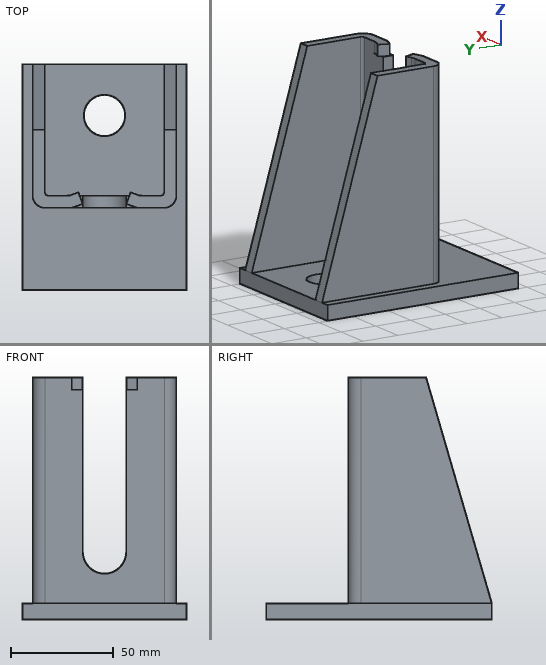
import cadquery as cq
import math

PLATE_WIDTH = 80.0
PLATE_LENGTH = 110.0
PLATE_THICKNESS = 8.0
HOLE_DIAMETER = 20.0
HOLE_FROM_REAR = 25.0

TOTAL_HEIGHT = 118.0
CHANNEL_WIDTH = 70.0
CHANNEL_DEPTH = 70.0
SHEET = 6.0
OUTER_RADIUS = 6.0
INNER_RADIUS = 1.5
TOP_SETBACK = 32.0

SLOT_WIDTH = 21.0
SLOT_CENTRE_ABOVE_PLATE = 25.0

LIP_HEIGHT = 6.0
LIP_ANGLE = math.radians(20.0)
LIP_BEND_X = 16.0
LIP_LENGTH = 5.7
LIP_BEND_RADIUS = 8.0

channel_front = -CHANNEL_DEPTH
wall_inside = channel_front + SHEET
lip_bottom = TOTAL_HEIGHT - LIP_HEIGHT
inner_bend_x = LIP_BEND_X + SHEET * math.tan(LIP_ANGLE / 2)


def box_between(x_min, x_max, y_min, y_max, z_min, z_max):
    """Axis-aligned block given by its limits."""
    block = cq.Workplane("XY").box(x_max - x_min, y_max - y_min, z_max - z_min, centered=False)
    return block.translate((x_min, y_min, z_min))


def base_plate():
    """Flat rectangular plate with one through hole."""
    half_width = PLATE_WIDTH / 2
    plate = box_between(-half_width, half_width, -PLATE_LENGTH, 0, 0, PLATE_THICKNESS)
    hole = cq.Workplane("XY").center(0, -HOLE_FROM_REAR).circle(HOLE_DIAMETER / 2).extrude(PLATE_THICKNESS)
    return plate.cut(hole)


def channel():
    """U-shaped upright with rounded front corners and sloping rear edges."""
    outer_half = CHANNEL_WIDTH / 2
    inner_half = outer_half - SHEET
    outer = box_between(-outer_half, outer_half, channel_front, 0, PLATE_THICKNESS, TOTAL_HEIGHT)
    outer = outer.edges("|Z and <Y").fillet(OUTER_RADIUS)
    inner = box_between(-inner_half, inner_half, wall_inside, 0, PLATE_THICKNESS, TOTAL_HEIGHT)
    inner = inner.edges("|Z and <Y").fillet(INNER_RADIUS)
    rear_slope = (
        cq.Workplane("YZ")
        .polyline([(0, PLATE_THICKNESS), (0, TOTAL_HEIGHT), (-TOP_SETBACK, TOTAL_HEIGHT)])
        .close()
        .extrude(outer_half, both=True)
    )
    return outer.cut(inner).cut(rear_slope)


def slot():
    """Round-bottomed slot through the front wall."""
    radius = SLOT_WIDTH / 2
    centre_z = PLATE_THICKNESS + SLOT_CENTRE_ABOVE_PLATE
    return (
        cq.Workplane("XZ", origin=(0, wall_inside, 0))
        .moveTo(-radius, TOTAL_HEIGHT)
        .lineTo(-radius, centre_z)
        .threePointArc((0, centre_z - radius), (radius, centre_z))
        .lineTo(radius, TOTAL_HEIGHT)
        .close()
        .extrude(SHEET)
    )


def wall_notch():
    """Top of the front wall that is removed to make room for the bent lips."""
    return box_between(-inner_bend_x, inner_bend_x, channel_front, wall_inside, lip_bottom, TOTAL_HEIGHT)


def lip():
    """Bent end of the front wall on the -X side, swung towards +Y."""
    cos_a = math.cos(LIP_ANGLE)
    sin_a = math.sin(LIP_ANGLE)
    outer_tip = (-LIP_BEND_X + LIP_LENGTH * cos_a, channel_front + LIP_LENGTH * sin_a)
    inner_tip = (outer_tip[0] - SHEET * sin_a, outer_tip[1] + SHEET * cos_a)
    root_x = -inner_bend_x - LIP_BEND_RADIUS
    profile = [
        (root_x, channel_front),
        (-LIP_BEND_X, channel_front),
        outer_tip,
        inner_tip,
        (-inner_bend_x, wall_inside),
        (root_x, wall_inside),
    ]
    body = cq.Workplane("XY", origin=(0, 0, lip_bottom)).polyline(profile).close().extrude(LIP_HEIGHT)
    bend_middle = (-inner_bend_x, wall_inside, lip_bottom + LIP_HEIGHT / 2)
    inner_bend = cq.selectors.NearestToPointSelector(bend_middle)
    return body.edges(inner_bend).fillet(LIP_BEND_RADIUS)


left_lip = lip()
right_lip = left_lip.mirror("YZ")
upright = channel().cut(slot()).cut(wall_notch()).union(left_lip).union(right_lip)
result = base_plate().union(upright)